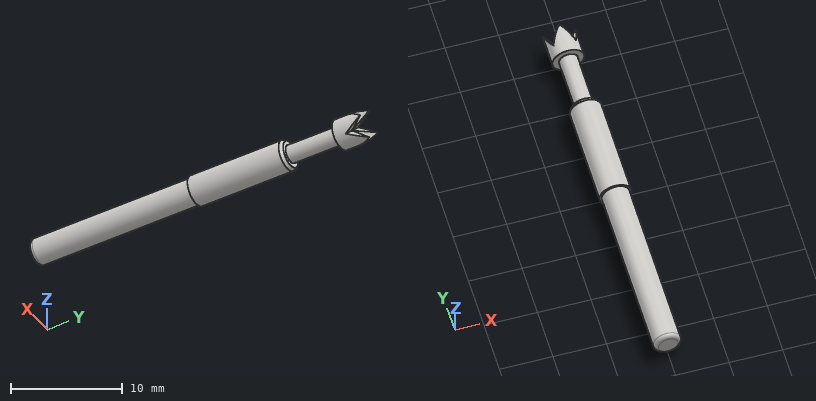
import cadquery as cq

total_length = 35.3
tip_y = total_length / 2
tail_y = -total_length / 2

head_radius = 1.5
head_length = 3.0
notch_depth = 1.8

shaft_radius = 0.9

collar_radius = head_radius
collar_front_y = tip_y - 8.3
collar_length = 10.03
collar_back_y = collar_front_y - collar_length
taper_length = 0.35
taper_height = 0.2

tail_radius = 1.3
end_rounding = 0.4


def turned_body():
    """Revolve the stepped half profile about the Y axis."""
    head_back_y = tip_y - head_length
    profile = (
        cq.Workplane("XY")
        .moveTo(0, tip_y)
        .lineTo(head_radius, tip_y)
        .lineTo(head_radius, head_back_y)
        .lineTo(shaft_radius, head_back_y)
        .lineTo(shaft_radius, collar_front_y)
        .lineTo(collar_radius - taper_height, collar_front_y)
        .lineTo(collar_radius, collar_front_y - taper_length)
        .lineTo(collar_radius, collar_back_y)
        .lineTo(tail_radius, collar_back_y)
        .lineTo(tail_radius, tail_y)
        .lineTo(0, tail_y)
        .close()
    )
    body = profile.revolve(360, (0, 0, 0), (0, 1, 0))
    return body.faces("<Y").edges().fillet(end_rounding)


def crown_notch(angle):
    """V groove across the head, turned about Y; tooth tips lie on its top edges."""
    half_width = head_radius / 2**0.5
    groove = (
        cq.Workplane("XY")
        .moveTo(-half_width, tip_y)
        .lineTo(0, tip_y - notch_depth)
        .lineTo(half_width, tip_y)
        .close()
        .extrude(2 * head_radius, both=True)
    )
    return groove.rotate((0, 0, 0), (0, 1, 0), angle)


result = turned_body()
for notch_angle in (45, 135):
    result = result.cut(crown_notch(notch_angle))